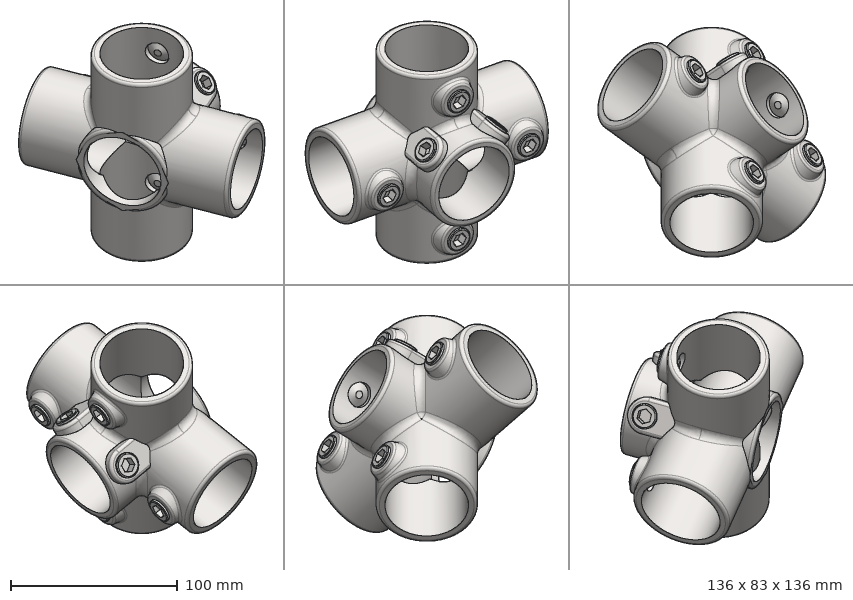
import cadquery as cq
import math

overall_length = 136.0
tube_radius = 30.5
collar_radius = 29.9
bore_radius = 25.0
collar_end_y = 52.5
rim_fillet = 2.0
junction_fillet = 5.0

screw_radius = 7.6
screw_tip_radius = 2.3
screw_top = 36.7
screw_tip = bore_radius
screw_point_height = 3.1
screw_rim_width = 0.8
screw_rim_height = 0.4
socket_flats = 8.0
socket_depth = 6.0
lug_socket_turns = (0, 90)

boss_top = 35.0
boss_top_radius = 11.2
boss_taper = 17.0
boss_rim_fillet = 1.5
boss_root_fillet = 1.6
boss_offset = 49.9
lug_half_width = 11.2
lug_rim_fillet = 2.0
lug_screw_y = 38.1
lug_angle = 45.0

half_length = overall_length / 2
boss_foot = bore_radius
boss_height = boss_top - boss_foot
boss_foot_radius = boss_top_radius + boss_height * math.tan(math.radians(boss_taper))
tolerance = 0.01
X_AXIS = cq.Vector(1, 0, 0)
Y_AXIS = cq.Vector(0, 1, 0)
Z_AXIS = cq.Vector(0, 0, 1)
sides = (-1, 1)
boss_places = [(side * boss_offset, 0) for side in sides] + [(0, side * boss_offset) for side in sides]


def rod(radius, direction, start, end):
    """Round rod on an axis through the origin, between two distances along it."""
    return cq.Workplane(cq.Solid.makeCylinder(radius, end - start, direction * start, direction))


def place_on_boss(shape, x, z):
    """Turn a shape that stands along Z so that it stands along +Y, at a boss."""
    return shape.rotate((0, 0, 0), (1, 0, 0), -90).translate((x, 0, z))


def place_on_lug(shape, side):
    """Tilt a shape that stands along Z to the direction of a lug, at the screw of the lug."""
    return shape.rotate((0, 0, 0), (0, 1, 0), side * lug_angle).translate((0, lug_screw_y, 0))



def is_junction(edge):
    """Seams between the two tubes, and seams between the tubes and the +Y part of the collar."""
    if edge.geomType() in ("LINE", "CIRCLE"):
        return False
    center = edge.Center()
    between_tubes = abs(abs(center.x) - abs(center.z)) < tolerance
    return between_tubes or center.y > 0


def make_rim_land():
    """Flat land that fills the collar rim out to its full radius where it meets the tubes on -Y.

    The rounding of the rim fades out where the tubes leave less than its height free.
    """
    fade_half_width = math.sqrt(tube_radius**2 - (tube_radius - rim_fillet) ** 2)
    fade_angle = math.asin(fade_half_width / collar_radius)
    rounded_radius = collar_radius - rim_fillet
    corners = []
    for quarter in range(4):
        middle = quarter * math.pi / 2
        for radius, angle in (
            (rounded_radius, middle - fade_angle),
            (collar_radius, middle),
            (rounded_radius, middle + fade_angle),
        ):
            corners.append((radius * math.cos(angle), radius * math.sin(angle)))
    front = cq.Workplane("XZ", origin=(0, -tube_radius, 0))
    return front.polyline(corners).close().extrude(-rim_fillet)


def make_tubes():
    """Tubes and collar, still solid inside, with round rims and blended junctions."""
    rods = [
        rod(tube_radius, X_AXIS, -half_length, half_length),
        rod(tube_radius, Z_AXIS, -half_length, half_length),
        rod(collar_radius, Y_AXIS, -tube_radius, collar_end_y),
    ]
    tube_x, tube_z, collar = [one.edges("%CIRCLE").fillet(rim_fillet) for one in rods]
    tubes = tube_x.union(tube_z).union(collar).union(make_rim_land())
    junctions = [edge for edge in tubes.edges().vals() if is_junction(edge)]
    return tubes.newObject(junctions).fillet(junction_fillet)


def make_boss():
    """Boss along Z that widens from its flat top down into the tube."""
    foot_center = cq.Vector(0, 0, boss_foot)
    boss = cq.Workplane(cq.Solid.makeCone(boss_foot_radius, boss_top_radius, boss_height, foot_center, Z_AXIS))
    return boss.faces(">Z").edges().fillet(boss_rim_fillet)


def make_lug():
    """Lug with a round end about its screw, running back to the middle of the crossing."""
    lug = (
        cq.Workplane()
        .moveTo(-lug_half_width, -lug_screw_y)
        .lineTo(lug_half_width, -lug_screw_y)
        .lineTo(lug_half_width, 0)
        .threePointArc((0, lug_half_width), (-lug_half_width, 0))
        .close()
        .extrude(boss_top)
    )
    return lug.faces(">Z").edges().fillet(lug_rim_fillet)


def is_boss_root(edge, x, z):
    """Seam where a boss meets the round outside of its tube."""
    box = edge.BoundingBox()
    reach = max(box.xmax - x, x - box.xmin, box.zmax - z, z - box.zmin)
    on_tube = boss_foot < box.ymin and box.ymax < tube_radius + tolerance
    return reach < boss_foot_radius and on_tube


def make_housing():
    housing = make_tubes()
    for x, z in boss_places:
        housing = housing.union(place_on_boss(make_boss(), x, z))
        roots = [edge for edge in housing.edges().vals() if is_boss_root(edge, x, z)]
        housing = housing.newObject(roots).fillet(boss_root_fillet)
    for side in sides:
        housing = housing.union(place_on_lug(make_lug(), side))
    for direction, reach in ((X_AXIS, half_length), (Z_AXIS, half_length), (Y_AXIS, collar_end_y)):
        housing = housing.cut(rod(bore_radius, direction, -reach, reach))
    screw_hole = cq.Workplane().circle(screw_radius).extrude(screw_top)
    for x, z in boss_places:
        housing = housing.cut(place_on_boss(screw_hole, x, z))
    for side in sides:
        housing = housing.cut(place_on_lug(screw_hole, side))
    return housing



def make_screw(socket_turn):
    """Set screw along Z with a blunt point and a hexagon socket turned about Z."""
    screw = (
        cq.Workplane("XZ")
        .moveTo(0, screw_tip)
        .lineTo(screw_tip_radius, screw_tip)
        .lineTo(screw_radius, screw_tip + screw_point_height)
        .lineTo(screw_radius, screw_top - screw_rim_height)
        .lineTo(screw_radius - screw_rim_width, screw_top)
        .lineTo(0, screw_top)
        .close()
        .revolve(360, (0, 0), (0, 1))
    )
    socket_corners = socket_flats / math.cos(math.pi / 6)
    socket = (
        cq.Workplane()
        .workplane(offset=screw_top - socket_depth)
        .polygon(6, socket_corners)
        .extrude(socket_depth)
        .rotate((0, 0, 0), (0, 0, 1), socket_turn)
    )
    return screw.cut(socket)



boss_screws = [place_on_boss(make_screw(socket_turn=0), x, z) for x, z in boss_places]
lug_screws = [place_on_lug(make_screw(turn), side) for side, turn in zip(sides, lug_socket_turns)]
screws = [screw.solids().val() for screw in boss_screws + lug_screws]
housing = make_housing()
result = cq.Compound.makeCompound([housing.solids().val(), *screws])